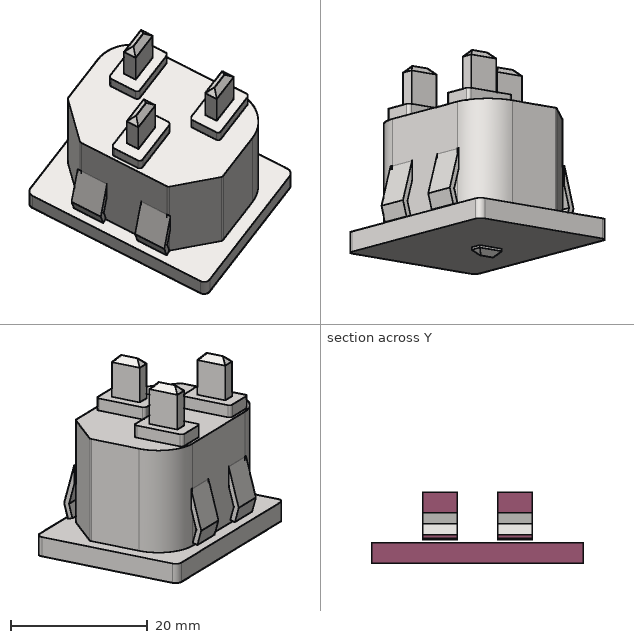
import cadquery as cq
import math

plate_length = 31.0
plate_width = 24.0
plate_thickness = 3.05
plate_corner_radius = 1.0

body_length = 26.72
body_width = 19.78
body_height = 15.95
body_round_radius = 5.75
body_chamfer = 5.77
body_edge_radius = 0.5

terminal_pitch_x = 7.0
terminal_offset_y = 5.2
pad_length = 5.08
pad_width = 8.28
pad_height = 1.9
pad_corner_radius = 0.5
blade_thickness = 2.0
blade_width = 4.7
blade_straight_height = 5.42
ridge_thickness = 0.03

pin_center_x = 0.15
pin_center_y = -1.85
pin_thickness = 1.92
pin_width = 4.12
pin_straight_height = 0.37
pin_drop = 1.27

clip_center_x = 5.5
clip_length = 5.05
clip_thickness = 0.8
clip_reach = 1.7
clip_top_height = 8.95
clip_knee_height = 2.8
clip_tip_height = 0.43

body_top = plate_thickness + body_height
pad_top = body_top + pad_height


def make_plate():
    plate = cq.Workplane("XY").rect(plate_length, plate_width).extrude(plate_thickness)
    return plate.edges("|Z").fillet(plate_corner_radius)


def make_body():
    block = (
        cq.Workplane("XY", origin=(0, 0, plate_thickness))
        .rect(body_length, body_width)
        .extrude(body_height)
    )
    block = block.edges("|Z and >Y").fillet(body_round_radius)
    block = block.edges("|Z and <Y").chamfer(body_chamfer)
    cut_corner_ends = block.edges("|Z").edges(cq.selectors.BoxSelector(
        (-plate_length, -plate_width, 0),
        (plate_length, body_chamfer - body_width / 2 + body_edge_radius, pad_top),
    ))
    return cut_corner_ends.fillet(body_edge_radius)


def make_blade(thickness, width, straight_height, inset):
    """Blade rising from Z = 0 with four 45 degree faces at its end."""
    shank = cq.Workplane("XY").rect(thickness, width).extrude(straight_height)
    return shank.union(
        cq.Workplane("XY", origin=(0, 0, straight_height))
        .rect(thickness, width)
        .workplane(offset=inset)
        .rect(thickness - 2 * inset, width - 2 * inset)
        .loft(ruled=True)
    )


def make_terminal(x, y):
    pad = cq.Workplane("XY").rect(pad_length, pad_width).extrude(pad_height)
    pad = pad.edges("|Z").fillet(pad_corner_radius)
    inset = (blade_thickness - ridge_thickness) / 2
    blade = make_blade(blade_thickness, blade_width, blade_straight_height, inset)
    terminal = pad.union(blade.translate((0, 0, pad_height)))
    return terminal.translate((x, y, body_top))


def make_lower_pin():
    inset = pin_drop - pin_straight_height
    pin = make_blade(pin_thickness, pin_width, pin_straight_height, inset)
    return pin.mirror("XY").translate((pin_center_x, pin_center_y, 0))


def make_clip(x):
    """Bent strip on the +Y face, both legs leaning at the same angle."""
    lean = math.atan2(clip_reach, clip_top_height - clip_knee_height)
    tip_reach = clip_reach - (clip_knee_height - clip_tip_height) * math.tan(lean)
    across = clip_thickness * math.cos(lean)
    along = clip_thickness * math.sin(lean)
    inner_reach = clip_reach - clip_thickness / math.cos(lean)
    outline = [
        (0, clip_top_height),
        (clip_reach, clip_knee_height),
        (tip_reach, clip_tip_height),
        (tip_reach - across, clip_tip_height + along),
        (inner_reach, clip_knee_height),
        (0, clip_knee_height + inner_reach / math.tan(lean)),
    ]
    strip = cq.Workplane("YZ").polyline(outline).close().extrude(clip_length / 2, both=True)
    return strip.translate((x, body_width / 2, plate_thickness))


result = make_plate().union(make_body()).union(make_lower_pin())

terminal_places = [
    (-terminal_pitch_x, terminal_offset_y),
    (0, -terminal_offset_y),
    (terminal_pitch_x, terminal_offset_y),
]
for terminal_x, terminal_y in terminal_places:
    result = result.union(make_terminal(terminal_x, terminal_y))

for clip_x in (-clip_center_x, clip_center_x):
    clip = make_clip(clip_x)
    result = result.union(clip).union(clip.mirror("XZ"))